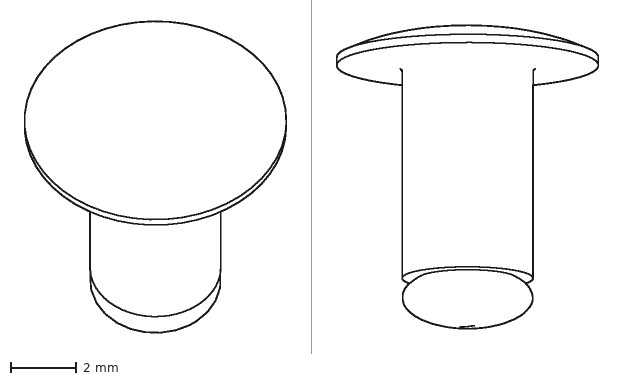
import cadquery as cq
import math

total_height = 9.1
shank_bottom = 1.5
rim_thickness = 0.255
dome_rise = 0.74
rim_top = total_height - dome_rise
rim_bottom = rim_top - rim_thickness

head_radius = 4.0
shank_radius = head_radius / 2
crown_flat_radius = head_radius / 5
neck_fillet = 0.22

foot_half_height = 0.9
foot_join_angle = math.degrees(math.asin((shank_bottom - foot_half_height) / foot_half_height))

dome_run = head_radius - crown_flat_radius
dome_radius = (dome_run**2 + dome_rise**2) / (2 * dome_rise)
dome_mid_angle = math.asin(dome_run / dome_radius) / 2
dome_middle = (
    crown_flat_radius + dome_radius * math.sin(dome_mid_angle),
    total_height - dome_radius * (1 - math.cos(dome_mid_angle)),
)

fillet_inset = neck_fillet * (1 - math.cos(math.pi / 4))
fillet_middle = (shank_radius + fillet_inset, rim_bottom - fillet_inset)

half_profile = (
    cq.Workplane("XZ")
    .ellipseArc(shank_radius, foot_half_height, -90, foot_join_angle, startAtCurrent=True)
    .lineTo(shank_radius, shank_bottom)
    .lineTo(shank_radius, rim_bottom - neck_fillet)
    .threePointArc(fillet_middle, (shank_radius + neck_fillet, rim_bottom))
    .lineTo(head_radius, rim_bottom)
    .lineTo(head_radius, rim_top)
    .threePointArc(dome_middle, (crown_flat_radius, total_height))
    .lineTo(0, total_height)
    .close()
)

result = half_profile.revolve(360, (0, 0, 0), (0, 1, 0))